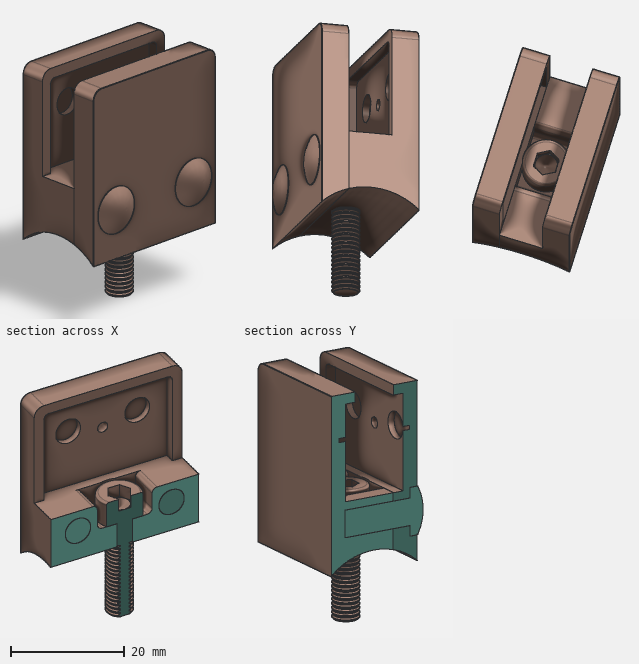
import cadquery as cq
import math


overall_height = 45.15
clamp_width = 18.0
clamp_length = 30.0
jaw_thickness = 5.0
slot_depth = 20.0
saddle_radius = 13.5
saddle_top = 15.13
corner_radius = 2.0
edge_break = 0.1

outer_face = clamp_width / 2
inner_face = outer_face - jaw_thickness
slot_floor = overall_height - slot_depth
saddle_centre = saddle_top - saddle_radius
block_bottom = saddle_centre + math.sqrt(saddle_radius**2 - outer_face**2)

recess_margin = 2.0
recess_depth = 2.0
recess_corner_radius = 1.0
recess_length = clamp_length - 2 * recess_margin
recess_top = overall_height - recess_margin

peg_hole_diameter = 5.0
peg_hole_depth = 1.3
peg_hole_spacing = 14.0
peg_hole_height = slot_floor + 11.5
pin_hole_diameter = 2.05
pin_hole_depth = 2.5
pin_hole_height = slot_floor + 10.1

bolt_diameter = 5.0
bolt_length = 20.0
head_diameter = 8.5
head_height = 5.0
head_edge_radius = 0.5
hex_across_flats = 4.0
hex_depth = 2.5
thread_root_diameter = 4.4
thread_turns = 19
thread_pitch = saddle_top / thread_turns
crest_flat = thread_pitch / 8
root_flat = thread_pitch / 4

channel_width = 11.0
channel_round = 1.0

screw_diameter = 5.0
screw_spacing = 18.95
screw_height = slot_floor - 4.15
screw_depth = 10.02
screw_head_diameter = 8.95
screw_head_seat = 1.5
screw_rim = 0.15
screw_head_rise = 1.25

screw_positions = [-screw_spacing / 2, screw_spacing / 2]


def x_cylinder(diameter, x_start, x_end, y, z):
    """Cylinder along X between two X stations."""
    plane = cq.Workplane("YZ", origin=(x_start, y, z))
    return plane.circle(diameter / 2).extrude(x_end - x_start)


def clamp_block():
    """Both jaws and the base in one piece, before it is split."""
    block = (
        cq.Workplane("XZ")
        .moveTo(-outer_face, block_bottom)
        .threePointArc((0, saddle_top), (outer_face, block_bottom))
        .lineTo(outer_face, overall_height)
        .lineTo(inner_face, overall_height)
        .lineTo(inner_face, slot_floor)
        .lineTo(-inner_face, slot_floor)
        .lineTo(-inner_face, overall_height)
        .lineTo(-outer_face, overall_height)
        .close()
        .extrude(clamp_length / 2, both=True)
    )
    block = block.edges("|X and >Z").fillet(corner_radius)
    return block.faces("<X or >X").edges("not <Z").chamfer(edge_break)


def pad_recess():
    """Cutting shape of the recess and its blind holes in the +X jaw."""
    recess_height = recess_top - slot_floor
    recess_floor = inner_face + recess_depth
    recess = (
        cq.Workplane("XY", origin=(inner_face, 0, slot_floor))
        .box(recess_depth, recess_length, recess_height, centered=(False, True, False))
        .edges("|X and >Z")
        .fillet(recess_corner_radius)
    )
    holes = [
        (peg_hole_diameter, peg_hole_depth, -peg_hole_spacing / 2, peg_hole_height),
        (peg_hole_diameter, peg_hole_depth, peg_hole_spacing / 2, peg_hole_height),
        (pin_hole_diameter, pin_hole_depth, 0, pin_hole_height),
    ]
    for diameter, depth, y, z in holes:
        recess = recess.union(x_cylinder(diameter, inner_face, recess_floor + depth, y, z))
    return recess


def bolt_channel():
    """Cutting shape of the channel between the jaws with rounded rims and floor corners."""
    wall = channel_width / 2
    rim = wall + channel_round
    foot = wall - channel_round
    diagonal = channel_round * (1 - math.sqrt(0.5))
    profile = (
        cq.Workplane("YZ")
        .moveTo(-rim, slot_floor)
        .threePointArc((-wall - diagonal, slot_floor - diagonal), (-wall, slot_floor - channel_round))
        .lineTo(-wall, bolt_length + channel_round)
        .threePointArc((-wall + diagonal, bolt_length + diagonal), (-foot, bolt_length))
        .lineTo(foot, bolt_length)
        .threePointArc((wall - diagonal, bolt_length + diagonal), (wall, bolt_length + channel_round))
        .lineTo(wall, slot_floor - channel_round)
        .threePointArc((wall + diagonal, slot_floor - diagonal), (rim, slot_floor))
        .close()
    )
    return profile.extrude(inner_face, both=True)


def bolt_clearance():
    """Cutting shape of the shank hole through the base and the head room in both jaws."""
    shank = cq.Workplane("XY").circle(bolt_diameter / 2).extrude(bolt_length)
    head_room = (
        cq.Workplane("XY", origin=(0, 0, bolt_length))
        .circle(head_diameter / 2)
        .extrude(slot_floor - bolt_length)
    )
    return shank.union(head_room)


def cover_region():
    """The space beyond the joint plane, where the cover jaw lies."""
    return cq.Workplane("XY", origin=(inner_face, 0, 0)).box(
        jaw_thickness, clamp_length, overall_height, centered=(False, True, False)
    )


def cover_screw(y):
    """Dome-head screw driven in from the cover's outer face."""
    seat = outer_face - screw_head_seat
    rim = outer_face + screw_rim
    top = outer_face + screw_head_rise
    head_radius = screw_head_diameter / 2
    dome_rise = top - rim
    dome_radius = (head_radius**2 + dome_rise**2) / (2 * dome_rise)
    half_angle = math.asin(head_radius / dome_radius) / 2
    dome_mid = (top - dome_radius * (1 - math.cos(half_angle)), dome_radius * math.sin(half_angle))
    tip = inner_face - screw_depth
    return (
        cq.Workplane("XY")
        .moveTo(tip, 0)
        .lineTo(tip, screw_diameter / 2)
        .lineTo(seat, screw_diameter / 2)
        .lineTo(seat, head_radius)
        .lineTo(rim, head_radius)
        .threePointArc(dome_mid, (top, 0))
        .close()
        .revolve(360, (0, 0, 0), (1, 0, 0))
        .translate((0, y, screw_height))
    )


def hex_socket():
    """Cutting shape of the hexagonal socket, flats facing X, with a conical bottom."""
    across_corners = hex_across_flats / math.cos(math.pi / 6)
    head_top = bolt_length + head_height
    hexagon = (
        cq.Workplane("XY", origin=(0, 0, head_top))
        .transformed(rotate=(0, 0, 90))
        .polygon(6, across_corners)
        .extrude(-hex_depth)
    )
    cone_radius = hex_across_flats / 2
    cone_depth = cone_radius * math.tan(math.pi / 6)
    cone_base = cq.Vector(0, 0, head_top - hex_depth)
    cone = cq.Solid.makeCone(cone_radius, 0, cone_depth, cone_base, cq.Vector(0, 0, -1))
    return hexagon.union(cq.Workplane(cone))


def mounting_bolt():
    """Socket-head bolt with ring-shaped thread turns below the clamp."""
    crest = bolt_diameter / 2
    root = thread_root_diameter / 2
    profile = cq.Workplane("XZ").moveTo(0, 0).lineTo(root, 0)
    for turn in range(thread_turns):
        start = turn * thread_pitch
        middle = start + thread_pitch / 2
        profile = (
            profile.lineTo(root, start + root_flat / 2)
            .lineTo(crest, middle - crest_flat / 2)
            .lineTo(crest, middle + crest_flat / 2)
            .lineTo(root, start + thread_pitch - root_flat / 2)
        )
    shank = (
        profile.lineTo(root, saddle_top)
        .lineTo(crest, saddle_top)
        .lineTo(crest, bolt_length)
        .lineTo(0, bolt_length)
        .close()
        .revolve(360, (0, 0, 0), (0, 1, 0))
    )
    head = (
        cq.Workplane("XY", origin=(0, 0, bolt_length))
        .circle(head_diameter / 2)
        .extrude(head_height)
        .faces(">Z")
        .edges()
        .fillet(head_edge_radius)
    )
    return shank.union(head).cut(hex_socket())


screws = [cover_screw(y) for y in screw_positions]
bolt = mounting_bolt()

block = clamp_block()
block = block.cut(pad_recess())
block = block.cut(pad_recess().mirror("YZ"))
block = block.cut(bolt_channel())
block = block.cut(bolt_clearance())
for screw in screws:
    block = block.cut(screw)

housing = block.cut(cover_region())
cover = block.intersect(cover_region())

result = cq.Compound.makeCompound(
    [housing.val(), cover.val(), bolt.val(), *[screw.val() for screw in screws]]
)